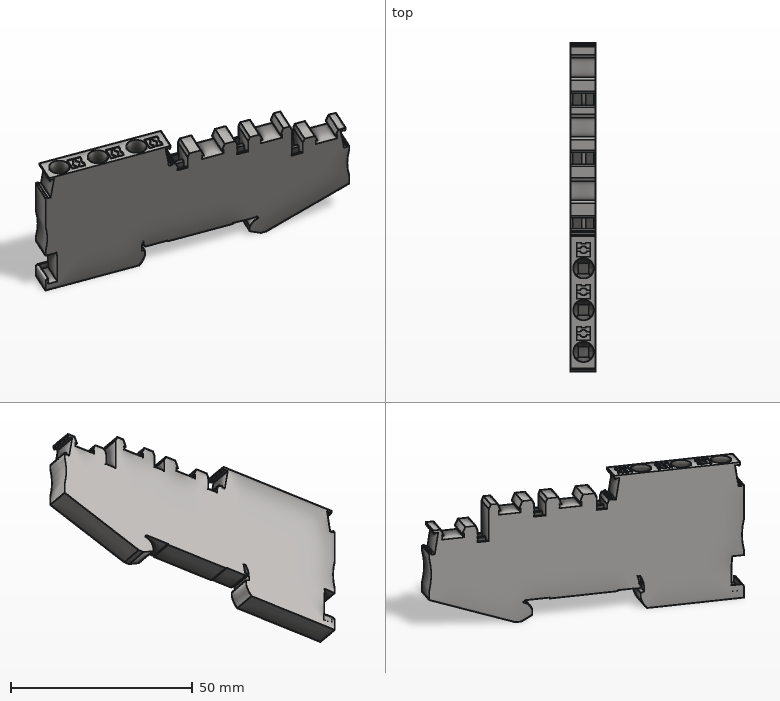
import cadquery as cq

WIDTH = 7.0
LENGTH = 90.8
HEIGHT = 40.0

CLEARANCE = 0.9

LOW_DECK = 29.7
MID_DECK = 35.5
LOW_STEP_Y = 75.4
MID_STEP_Y = 40.9

MARKER_DROP = 6.9
HIGH_SHOULDER = HEIGHT - MARKER_DROP
INNER_SHOULDER_Y = 38.5

HOLLOW_HALF_HEIGHT = 4.5
HOLLOW_DEPTH = 0.5
FRONT_HOLLOW_Z = 18.6
BACK_HOLLOW_Z = 16.8

NOTCH_TOP = 12.5
NOTCH_BOTTOM = 4.0
NOTCH_DEPTH = 3.5
NOTCH_RELIEF_Y = 3.4
NOTCH_RELIEF_Z = 10.1
NOTCH_LIP_RADIUS = 0.8
NOTCH_WELL_DEPTH = 1.8
NOTCH_SIDE_WALL = 0.4

SLOPE_TOP_Z = 9.3
HOOK_TOE_BACK_Y = 65.9
HOOK_TOE_FRONT_Y = 64.3
HOOK_TIP_Y = 61.1
HOOK_TIP_BOTTOM_Z = 1.6
HOOK_TIP_TOP_Z = 3.3

FOOT_TOE_Y = 28.0
FOOT_TIP_Y = 29.8
FOOT_TIP_BOTTOM_Z = 3.3
FOOT_TIP_TOP_Z = 4.6

SEAT_Z = 6.2
PAD_Z = 5.9
PAD_START_Y = 36.5
PAD_END_Y = 56.0

WINDOWS = [(84.0, LOW_DECK, 26.7), (67.6, MID_DECK, 32.2), (50.0, MID_DECK, 32.2)]
WINDOW_WIDTH = 6.4
BARB_REACH = 0.5
BARB_RISE = 1.1
WINDOW_MOUTH_FLARE = 0.4

SLOTS = [
    (73.6, 76.9, 24.8, MID_DECK, LOW_DECK),
    (57.3, 60.6, 30.5, MID_DECK, MID_DECK),
    (39.5, 42.5, 30.5, HIGH_SHOULDER, MID_DECK),
]
RIM_RUN = 0.5
RIM_DROP = 1.3
CONTACT_OPENINGS = [(-2.8, -0.4), (0.7, 2.9)]
CONTACT_DEPTH = 4.5

FUNNEL_COUNT = 3
FUNNEL_PITCH = 11.5
FIRST_FUNNEL_Y = 5.5
ENTRY_X = 0.14
FUNNEL_DIAMETER = 5.6
FUNNEL_END = 2.9
ENTRY_DEPTH = 5.45
TAPER_DEPTH = 1.8
BUTTON_OFFSET = 5.1
BUTTON_SIZE = 3.8
BUTTON_RECESS = 0.3
BUTTON_HOLE_DIAMETER = 2.0
BUTTON_SLOT_WIDTH = 0.8
BUTTON_SLOT_DEPTH = 0.5
KEY_WIDTH = 1.3
KEY_DEPTH = 0.3

RELIEF_DEPTH = 1.4


def prism(points):
    """Full-width prism from a closed (Y, Z) outline."""
    return cq.Workplane("YZ").polyline(points).close().extrude(WIDTH / 2, both=True)


def body():
    """Body with plain decks, end hollows, latch notch and rail seat."""
    outline = (
        cq.Workplane("YZ")
        .moveTo(FOOT_TOE_Y, 0)
        .lineTo(0, 0)
        .lineTo(0, NOTCH_BOTTOM - NOTCH_LIP_RADIUS)
        .radiusArc((NOTCH_LIP_RADIUS, NOTCH_BOTTOM), NOTCH_LIP_RADIUS)
        .lineTo(NOTCH_DEPTH, NOTCH_BOTTOM)
        .lineTo(NOTCH_DEPTH, NOTCH_RELIEF_Z)
        .lineTo(NOTCH_RELIEF_Y, NOTCH_TOP)
        .lineTo(0, NOTCH_TOP)
        .lineTo(0, FRONT_HOLLOW_Z - HOLLOW_HALF_HEIGHT)
        .threePointArc((HOLLOW_DEPTH, FRONT_HOLLOW_Z), (0, FRONT_HOLLOW_Z + HOLLOW_HALF_HEIGHT))
        .lineTo(0, HEIGHT)
        .lineTo(INNER_SHOULDER_Y, HEIGHT)
        .lineTo(INNER_SHOULDER_Y, HIGH_SHOULDER)
        .lineTo(MID_STEP_Y, HIGH_SHOULDER)
        .lineTo(MID_STEP_Y, MID_DECK)
        .lineTo(LOW_STEP_Y, MID_DECK)
        .lineTo(LOW_STEP_Y, LOW_DECK)
        .lineTo(LENGTH, LOW_DECK)
        .lineTo(LENGTH, BACK_HOLLOW_Z + HOLLOW_HALF_HEIGHT)
        .threePointArc(
            (LENGTH - HOLLOW_DEPTH, BACK_HOLLOW_Z),
            (LENGTH, BACK_HOLLOW_Z - HOLLOW_HALF_HEIGHT),
        )
        .lineTo(LENGTH, SLOPE_TOP_Z)
        .lineTo(HOOK_TOE_BACK_Y, 0)
        .lineTo(HOOK_TOE_FRONT_Y, 0)
        .lineTo(HOOK_TIP_Y, HOOK_TIP_BOTTOM_Z)
        .lineTo(HOOK_TIP_Y, HOOK_TIP_TOP_Z)
        .threePointArc((61.7, 4.45), (63.1, 5.4))
        .lineTo(63.65, 5.6)
        .lineTo(63.2, SEAT_Z)
        .lineTo(PAD_END_Y, SEAT_Z)
        .lineTo(PAD_END_Y, PAD_Z)
        .lineTo(PAD_START_Y, PAD_Z)
        .lineTo(PAD_START_Y, SEAT_Z)
        .lineTo(29.9, SEAT_Z)
        .lineTo(29.5, 6.6)
        .lineTo(29.3, 8.1)
        .lineTo(28.9, 6.9)
        .lineTo(28.8, 5.1)
        .lineTo(FOOT_TIP_Y, FOOT_TIP_TOP_Z)
        .lineTo(FOOT_TIP_Y, FOOT_TIP_BOTTOM_Z)
        .threePointArc((29.15, 1.5), (FOOT_TOE_Y, 0))
        .close()
    )
    return outline.extrude(WIDTH / 2, both=True)


def notch_well():
    """Cutter for the well behind the notch lip, closed by a thin wall on the -X side."""
    return cq.Workplane(
        "XY",
        origin=(NOTCH_SIDE_WALL - WIDTH / 2, NOTCH_LIP_RADIUS, NOTCH_BOTTOM - NOTCH_WELL_DEPTH),
    ).box(WIDTH, NOTCH_DEPTH - NOTCH_LIP_RADIUS, NOTCH_WELL_DEPTH, centered=False)


def marker_groove(end_y, top_z, inward):
    """Cutter leaving a thin top lip with a barb, a leaning wall and a beaded shoulder."""
    profile = [
        (-CLEARANCE, -CLEARANCE), (1.1, -CLEARANCE), (1.1, 0.5), (1.4, 1.1), (1.6, 0.8), (2.5, 0.8),
        (1.5, 7.1), (0.7, 7.1), (0.5, 6.6), (0, MARKER_DROP), (-CLEARANCE, MARKER_DROP),
    ]
    return prism([(end_y + inward * run, top_z - drop) for run, drop in profile])


def window(center_y, deck, floor):
    """Cutter for a window whose side walls carry inward barbs."""
    half = WINDOW_WIDTH / 2
    barb_z = floor + BARB_RISE
    back_side = [
        (half, floor),
        (half, barb_z),
        (half - BARB_REACH, barb_z),
        (half + WINDOW_MOUTH_FLARE, deck),
    ]
    front_side = [(-y, z) for y, z in reversed(back_side)]
    return prism([(center_y + y, z) for y, z in back_side + front_side])


def bridge_slot(front, back, floor, front_rim, back_rim):
    """Cutter for a bridge slot with bevelled rims and its contact openings."""
    top = max(front_rim, back_rim) + CLEARANCE
    slot = prism([
        (front, floor),
        (front, front_rim - RIM_DROP),
        (front - RIM_RUN, front_rim),
        (front - RIM_RUN, top),
        (back + RIM_RUN, top),
        (back + RIM_RUN, back_rim),
        (back, back_rim - RIM_DROP),
        (back, floor),
    ])
    for x_start, x_end in CONTACT_OPENINGS:
        opening = cq.Workplane("XY").box(
            x_end - x_start, back - front, CONTACT_DEPTH, centered=False
        )
        slot = slot.union(opening.translate((x_start, front, floor - CONTACT_DEPTH)))
    return slot


def wire_funnel(center_y):
    """Cutter with a round entry that tapers into a square end."""
    entry = (
        cq.Workplane("XY", origin=(ENTRY_X, center_y, HEIGHT))
        .circle(FUNNEL_DIAMETER / 2)
        .extrude(-ENTRY_DEPTH)
    )
    taper = (
        cq.Workplane("XY", origin=(ENTRY_X, center_y, HEIGHT - ENTRY_DEPTH))
        .circle(FUNNEL_DIAMETER / 2)
        .workplane(offset=-TAPER_DEPTH)
        .rect(FUNNEL_END, FUNNEL_END)
        .loft()
    )
    return entry.union(taper)


def release_button(center_y):
    """Cutter for a shallow keyed square with a deeper round hole and cross slot."""
    top = cq.Workplane("XY", origin=(ENTRY_X, center_y, HEIGHT))
    recess = top.rect(BUTTON_SIZE, BUTTON_SIZE).extrude(-BUTTON_RECESS)
    key_y = (BUTTON_SIZE - KEY_DEPTH) / 2
    key = top.center(0, key_y).rect(KEY_WIDTH, KEY_DEPTH).extrude(-BUTTON_RECESS)
    hole = top.circle(BUTTON_HOLE_DIAMETER / 2).extrude(-BUTTON_SLOT_DEPTH)
    slot = top.rect(BUTTON_SIZE, BUTTON_SLOT_WIDTH).extrude(-BUTTON_SLOT_DEPTH)
    return recess.cut(key).union(hole).union(slot)


def foot_relief():
    """Cutter for the shallow relief above the spring foot, open to the -X face."""
    return (
        cq.Workplane("YZ", origin=(-WIDTH / 2, 0, 0))
        .polyline([(30.7, 9.7), (30, 9.7), (29.4, 8.7), (29.0, 7.45), (29.5, 6.6), (30.15, 7.3)])
        .close()
        .extrude(RELIEF_DEPTH)
    )


result = body().cut(notch_well())
result = result.cut(marker_groove(0, HEIGHT, 1))
result = result.cut(marker_groove(INNER_SHOULDER_Y, HEIGHT, -1))
result = result.cut(marker_groove(LENGTH, LOW_DECK, -1))
for window_sizes in WINDOWS:
    result = result.cut(window(*window_sizes))
for slot_sizes in SLOTS:
    result = result.cut(bridge_slot(*slot_sizes))
for index in range(FUNNEL_COUNT):
    funnel_y = FIRST_FUNNEL_Y + index * FUNNEL_PITCH
    result = result.cut(wire_funnel(funnel_y))
    result = result.cut(release_button(funnel_y + BUTTON_OFFSET))
result = result.cut(foot_relief())